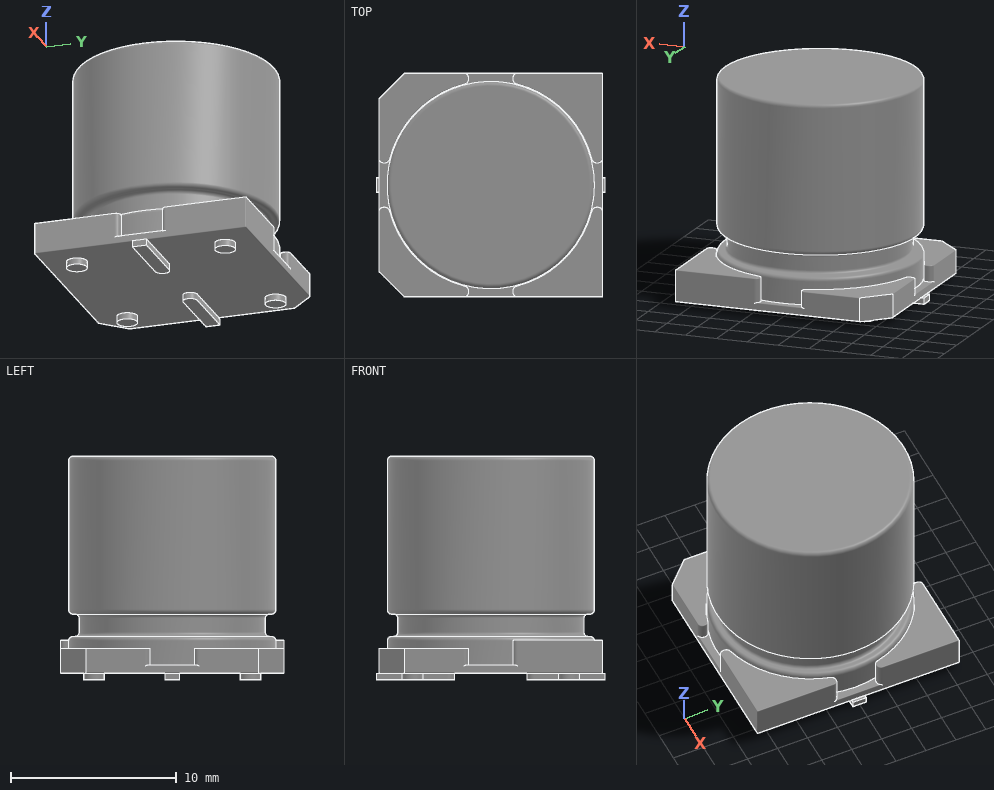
import cadquery as cq

base_side = 13.5
base_half = base_side / 2
base_bottom = 0.4
floor_z = 0.9
low_pad_top = 1.9
high_pad_top = 2.4
corner_cut = 1.55
edge_round = 0.05

notch_half_width = 1.34
tip_radius = 0.29

can_radius = 12.5 / 2
neck_radius = 11.25 / 2
can_top = 13.5
flange_top = 2.64
lip_bottom = 3.96
rim_round = 0.28
neck_round = 0.23
seat_gap = 0.04
seat_radius = can_radius + seat_gap

terminal_reach = 6.9
terminal_inner_end = 2.18
terminal_width = 0.9
foot_diameter = 1.25
foot_offset = 4.72


def corner_pad(x_sign, y_sign, top):
    """Corner block around the can seat, with rounded notch tips and softened edges."""
    side = base_half - notch_half_width
    centre = notch_half_width + side / 2
    bottom = base_bottom + edge_round
    height = top - bottom
    seat = cq.Workplane("XY").workplane(offset=bottom).circle(seat_radius).extrude(height)
    block = (
        cq.Workplane("XY")
        .workplane(offset=bottom)
        .center(x_sign * centre, y_sign * centre)
        .rect(side, side)
        .extrude(height)
        .cut(seat)
    )
    upright = cq.selectors.StringSyntaxSelector("|Z")
    corner = cq.selectors.NearestToPointSelector(
        (x_sign * base_half, y_sign * base_half, bottom + height / 2)
    )
    rounded = block.edges(upright - corner).fillet(tip_radius)
    rounded = rounded.edges(corner).fillet(edge_round)
    return rounded.faces(">Z").edges().fillet(edge_round)


def base():
    """Slab with two low pads and two high pads; the two corners at -X are cut off."""
    slab_height = floor_z - base_bottom
    body = (
        cq.Workplane("XY")
        .box(base_side, base_side, slab_height)
        .translate((0, 0, base_bottom + slab_height / 2))
        .edges()
        .fillet(edge_round)
    )
    for x_sign, top in ((-1, low_pad_top), (1, high_pad_top)):
        for y_sign in (-1, 1):
            body = body.union(corner_pad(x_sign, y_sign, top))

    for y_sign in (-1, 1):
        corner = (
            cq.Workplane("XY")
            .moveTo(-base_half, y_sign * base_half)
            .lineTo(-base_half + corner_cut, y_sign * base_half)
            .lineTo(-base_half, y_sign * (base_half - corner_cut))
            .close()
            .extrude(high_pad_top)
        )
        body = body.cut(corner)
    return body


def can():
    """Turned can with a necked groove; it starts inside the slab."""
    lip_flat = can_radius - rim_round
    groove_flat = neck_radius + neck_round
    profile = (
        cq.Workplane("XZ")
        .moveTo(0, base_bottom + edge_round)
        .lineTo(can_radius, base_bottom + edge_round)
        .lineTo(can_radius, flange_top - rim_round)
        .radiusArc((lip_flat, flange_top), -rim_round)
        .lineTo(groove_flat, flange_top)
        .radiusArc((neck_radius, flange_top + neck_round), neck_round)
        .lineTo(neck_radius, lip_bottom - neck_round)
        .radiusArc((groove_flat, lip_bottom), neck_round)
        .lineTo(lip_flat, lip_bottom)
        .radiusArc((can_radius, lip_bottom + rim_round), -rim_round)
        .lineTo(can_radius, can_top - rim_round)
        .radiusArc((lip_flat, can_top), -rim_round)
        .lineTo(0, can_top)
        .close()
    )
    return profile.revolve(360, (0, 0, 0), (0, 1, 0))


def terminal(x_sign):
    """Flat terminal strip under the base, with a round inner end."""
    half_width = terminal_width / 2
    arc_start = x_sign * (terminal_inner_end + half_width)
    tip = x_sign * terminal_inner_end
    outer_end = x_sign * terminal_reach
    return (
        cq.Workplane("XY")
        .moveTo(outer_end, -half_width)
        .lineTo(arc_start, -half_width)
        .threePointArc((tip, 0), (arc_start, half_width))
        .lineTo(outer_end, half_width)
        .close()
        .extrude(base_bottom)
    )


feet = (
    cq.Workplane("XY")
    .rect(2 * foot_offset, 2 * foot_offset, forConstruction=True)
    .vertices()
    .circle(foot_diameter / 2)
    .extrude(base_bottom)
)

result = base().union(can()).union(feet)
for x_sign in (-1, 1):
    result = result.union(terminal(x_sign))